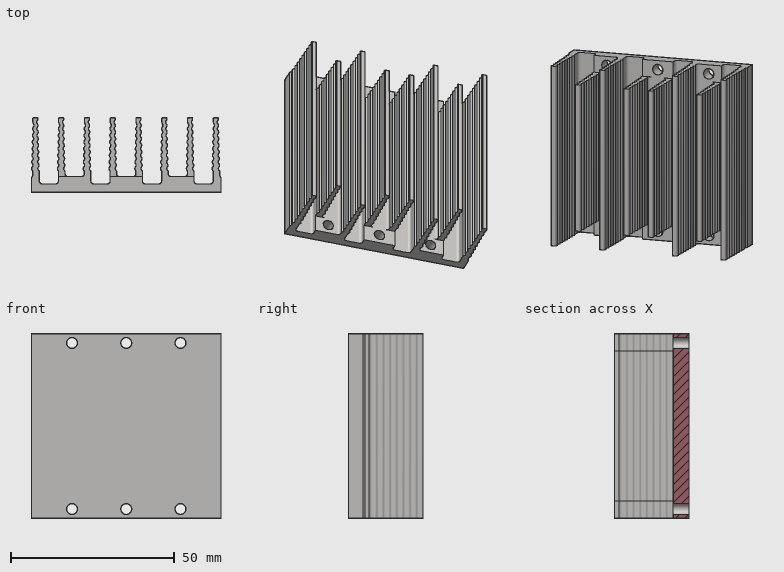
import cadquery as cq

width = 57.9
depth = 22.9
length = 56.4

pad_top = 4.9
groove_floor = 2.6
groove_radius = 0.85
edge_height = 4.45
shoulder_top = 5.15

fin_count = 8
fin_pitch = 7.9
root_half = 1.05
root_top = 6.35
foot_radius = 0.7
flank_taper = 0.025
tip_radius = 0.45
fin_setback = 5.25
setback_fins = (1, 3, 4, 6)
grooved_gaps = (0, 2, 4, 6)

wave_start = 6.8
wave_length = 2.0
half_wave = wave_length / 2
wave_height = 0.19
left_waves = 14
right_waves = 15

hole_diameter = 3.25
hole_pitch_x = 16.55
hole_pitch_z = 50.75


def fin_x(index):
    """X of the root centre of a fin, counted from the -X side."""
    return (index - (fin_count - 1) / 2) * fin_pitch


def flank_x(side, y):
    """Middle line of a wavy flank (side -1 or +1): tapers to the tip, shifted to -X by the wave height."""
    return side * (root_half - flank_taper * (y - pad_top)) - wave_height


def flank_point(side, step):
    """Point where half-wave number `step` begins on a flank."""
    y = wave_start + step * half_wave
    return flank_x(side, y), y


def wave_crest(side, step):
    """Middle of half-wave number `step`; even ones bulge to -X, odd ones to +X."""
    y = wave_start + (step + 0.5) * half_wave
    bulge = wave_height if step % 2 else -wave_height
    return flank_x(side, y) + bulge, y


def fin_profile(left_foot, right_foot):
    """Closed fin section about X = 0; the foot radii are zero where the fin meets a groove or an outer edge."""
    profile = cq.Workplane("XY").moveTo(-root_half - left_foot, pad_top)
    if left_foot:
        profile = profile.radiusArc((-root_half, pad_top + left_foot), -left_foot)
    profile = profile.lineTo(-root_half, root_top).tangentArcPoint(flank_point(-1, 0), relative=False)
    for step in range(left_waves):
        profile = profile.threePointArc(wave_crest(-1, step), flank_point(-1, step + 1))

    crest_x, crest_y = wave_crest(-1, left_waves)
    profile = profile.lineTo(crest_x, crest_y).lineTo(crest_x, depth - tip_radius)
    profile = profile.radiusArc((crest_x + tip_radius, depth), tip_radius)
    bulge_start = flank_point(1, right_waves)
    bulge_middle = (bulge_start[0] + wave_height, (bulge_start[1] + depth) / 2)
    profile = profile.lineTo(bulge_start[0], depth).threePointArc(bulge_middle, bulge_start)

    for step in reversed(range(right_waves)):
        profile = profile.threePointArc(wave_crest(1, step), flank_point(1, step))
    profile = profile.tangentArcPoint((root_half, root_top), relative=False)
    profile = profile.lineTo(root_half, pad_top + right_foot)
    if right_foot:
        profile = profile.radiusArc((root_half + right_foot, pad_top), -right_foot)
    return profile.lineTo(root_half, groove_floor).lineTo(-root_half, groove_floor).close()


def make_fin(index):
    left_foot = foot_radius if index > 0 and index - 1 not in grooved_gaps else 0
    right_foot = foot_radius if index < fin_count - 1 and index not in grooved_gaps else 0
    setback = fin_setback if index in setback_fins else 0
    fin = fin_profile(left_foot, right_foot).extrude(length / 2 - setback, both=True)
    return fin.translate((fin_x(index), 0, 0))


def make_base():
    """Plate with sloping shoulders that rise to the outer fins."""
    outer_x = fin_x(fin_count - 1) + root_half
    inner_x = outer_x - 2 * root_half
    right_half = [
        (inner_x, pad_top), (inner_x, shoulder_top), (outer_x, shoulder_top), (width / 2, edge_height),
        (width / 2, 0),
    ]
    left_half = [(-x, y) for x, y in reversed(right_half)]
    return cq.Workplane("XY").polyline(left_half + right_half).close().extrude(length / 2, both=True)


def make_groove(gap):
    """Deep round-cornered channel between fin `gap` and the next one."""
    groove_width = fin_pitch - 2 * root_half
    height = depth - groove_floor
    groove = cq.Workplane("XY").box(groove_width, height, length, centered=(True, False, True))
    groove = groove.edges("|Z and <Y").fillet(groove_radius)
    return groove.translate((fin_x(gap) + fin_pitch / 2, groove_floor, 0))


result = make_base()
for gap in grooved_gaps:
    result = result.cut(make_groove(gap))
for index in range(fin_count):
    result = result.union(make_fin(index))

holes = (
    cq.Workplane("XZ")
    .rarray(hole_pitch_x, hole_pitch_z, 3, 2)
    .circle(hole_diameter / 2)
    .extrude(-pad_top)
)
result = result.cut(holes)